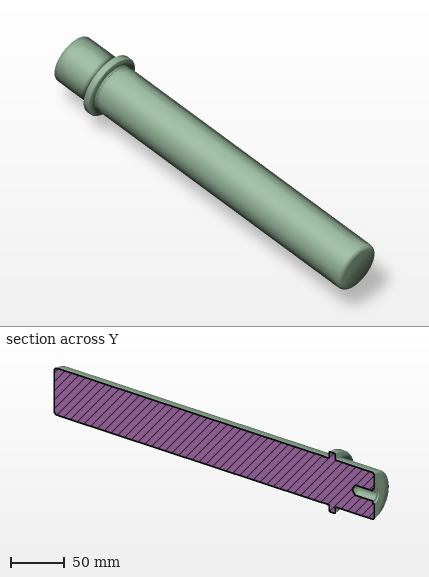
import cadquery as cq
import math

pin_length = 365.0
body_radius = 25.0

head_land_length = 10.2
head_land_drop = 0.07
head_round_radius = 2.5

tail_taper_length = 8.0
tail_taper_drop = 0.2
tail_round_radius = 4.0

collar_radius = 31.95
collar_start = 44.5
collar_width = 7.0
collar_round_radius = 1.0

groove_start = 53.5
groove_width = 5.0
groove_depth = 0.5

hole_radius = 5.0
hole_depth = 22.0
drill_point_angle = 118
counterbore_radius = 7.5
counterbore_depth = 1.5


def make_body():
    """Revolve the pin outline about the X axis, including its rounded ends."""
    land_radius = body_radius - head_land_drop
    lead_in_radius = body_radius - tail_taper_drop
    return (
        cq.Workplane("XY")
        .lineTo(0, land_radius - head_round_radius)
        .radiusArc((head_round_radius, land_radius), head_round_radius)
        .lineTo(head_land_length, land_radius)
        .lineTo(head_land_length, body_radius)
        .lineTo(pin_length - tail_taper_length, body_radius)
        .lineTo(pin_length - tail_round_radius, lead_in_radius)
        .radiusArc((pin_length, lead_in_radius - tail_round_radius), tail_round_radius)
        .lineTo(pin_length, 0)
        .close()
        .revolve(360, (0, 0, 0), (1, 0, 0))
    )


def make_collar():
    collar = cq.Workplane("YZ", origin=(collar_start, 0, 0)).circle(collar_radius).extrude(collar_width)
    return collar.edges().fillet(collar_round_radius)


def make_groove():
    plane = cq.Workplane("YZ", origin=(groove_start, 0, 0))
    return plane.circle(collar_radius).circle(body_radius - groove_depth).extrude(groove_width)


def make_center_hole():
    """Revolve the counterbored blind hole with its conical bottom."""
    point_length = hole_radius / math.tan(math.radians(drill_point_angle / 2))
    return (
        cq.Workplane("XY")
        .lineTo(0, counterbore_radius)
        .lineTo(counterbore_depth, counterbore_radius)
        .lineTo(counterbore_depth, hole_radius)
        .lineTo(hole_depth, hole_radius)
        .lineTo(hole_depth + point_length, 0)
        .close()
        .revolve(360, (0, 0, 0), (1, 0, 0))
    )


result = make_body().union(make_collar()).cut(make_groove()).cut(make_center_hole())